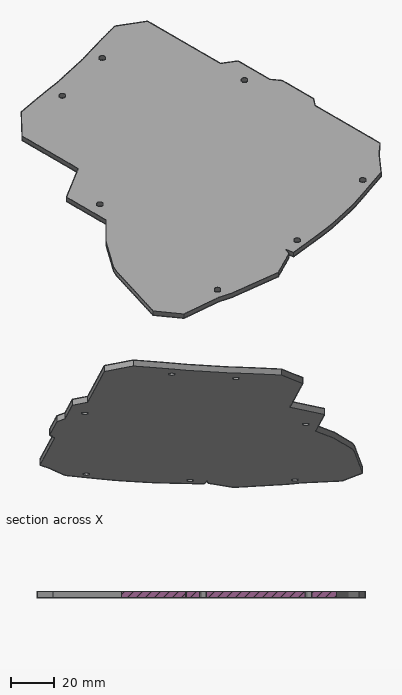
import cadquery as cq

length = 155.5
width = 150.6
thickness = 3.0
hole_diameter = 3.0

top_edge_y = 147.6
shoulder_y = 141.4
left_bottom_y = 48.8
step_bottom_y = 31.5

left_middle_y = (shoulder_y + left_bottom_y) / 2
left_corner_x = 9.8
left_half_profile = [
    (0, 34.5),
    (0.5, 23.3),
    (1.0, 15.5),
    (1.4, 9.5),
]

right_middle_y = 101.3
right_half_profile = [
    (153.0, 32.4),
    (154.8, 15.9),
    (155.4, 9.8),
    (length, 6.4),
]


def symmetric_side(half_profile, middle_y):
    """Points of a side mirrored about middle_y, listed from top to bottom."""
    upper = [(x, middle_y + offset) for x, offset in half_profile]
    lower = [(x, middle_y - offset) for x, offset in reversed(half_profile)]
    return upper + lower


left_side = symmetric_side(left_half_profile, left_middle_y)
right_side = symmetric_side(right_half_profile, right_middle_y)

top_side = [
    (left_corner_x, shoulder_y),
    (52.6, shoulder_y),
    (57.9, top_edge_y),
    (76.5, top_edge_y),
    (81.4, width),
    (99.9, width),
    (103.1, top_edge_y),
    (141.1, top_edge_y),
    (144.2, 143.0),
]

lobe_side = [
    (148.9, 68.3),
    (151.7, 67.2),
    (155.3, 54.8),
    (146.7, 31.3),
    (143.7, 25.7),
    (137.7, 7.3),
    (125.4, 0),
]

bottom_side = [
    (112.6, 4.0),
    (96.9, 9.0),
    (94.0, 10.5),
    (80.7, 21.3),
    (72.8, step_bottom_y),
    (49.6, step_bottom_y),
    (42.6, left_bottom_y),
    (left_corner_x, left_bottom_y),
]

hole_centres = [
    (67.7, 140.0),
    (149.3, 124.5),
    (8.0, 110.3),
    (8.4, 80.3),
    (149.3, 76.0),
    (64.4, 37.5),
    (140.2, 29.0),
]

outline = top_side + right_side + lobe_side + bottom_side + left_side[::-1]
plate = cq.Workplane("XY").polyline(outline).close().extrude(thickness)
holes = cq.Workplane("XY").pushPoints(hole_centres).circle(hole_diameter / 2).extrude(thickness)
result = plate.cut(holes)